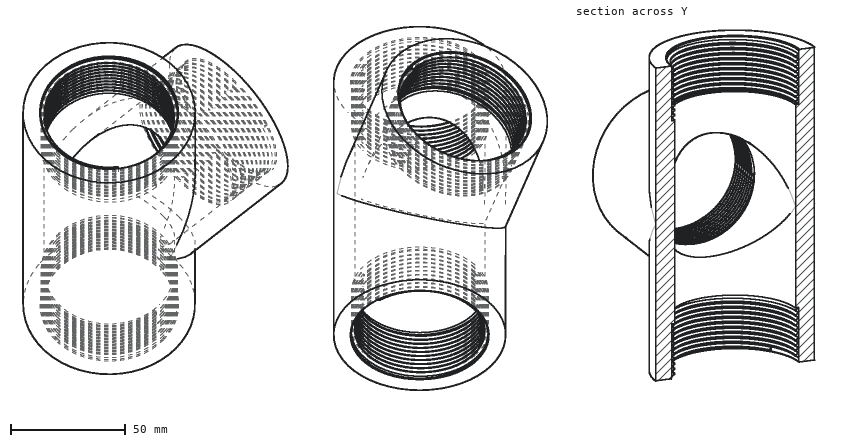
import cadquery as cq

length = 144.0
outer_diameter = 75.0
branch_reach = length / 2
bore_diameter = 56.7

root_diameter = 59.6
mouth_diameter = 60.5
mouth_depth = (mouth_diameter - root_diameter) / 2
socket_depth = 25.2

pitch = 2.3
ridge_base = 2.2
ridge_crest = 0.5
crest_diameter = bore_diameter
thread_start = 1.2
thread_turns = 9.9

end_height = length / 2
end_angles = {"upper": 0, "lower": 180, "branch": -90}


def turn_to_end(body, angle):
    """Rotate a body made for the upper end to another end of the tee."""
    return body.rotate((0, 0, 0), (1, 0, 0), angle)


def make_socket_cutter():
    """Round socket with a chamfered mouth, at the upper end."""
    floor = end_height - socket_depth
    return (
        cq.Workplane("XZ")
        .moveTo(0, floor)
        .lineTo(root_diameter / 2, floor)
        .lineTo(root_diameter / 2, end_height - mouth_depth)
        .lineTo(mouth_diameter / 2, end_height)
        .lineTo(0, end_height)
        .close()
        .revolve(360, (0, 0, 0), (0, 1, 0))
    )


def make_housing():
    """Equal tee with crossing bores and a socket at every end."""
    run = cq.Workplane("XY").circle(outer_diameter / 2).extrude(length / 2, both=True)
    branch = cq.Workplane("XZ").circle(outer_diameter / 2).extrude(-branch_reach)
    run_bore = cq.Workplane("XY").circle(bore_diameter / 2).extrude(length / 2, both=True)
    branch_bore = cq.Workplane("XZ").circle(bore_diameter / 2).extrude(-branch_reach)
    housing = run.union(branch).cut(run_bore).cut(branch_bore)
    for angle in end_angles.values():
        housing = housing.cut(turn_to_end(make_socket_cutter(), angle))
    return housing


def make_helix(radius, height):
    """Thread-length helix about Z, starting on +X at the given height."""
    helix = cq.Wire.makeHelix(pitch, pitch * thread_turns, radius)
    return helix.translate(cq.Vector(0, 0, height))


def make_thread(angle):
    """Helical ridge of trapezoid section, seated on the socket wall."""
    start = end_height - socket_depth + thread_start
    root_low = make_helix(root_diameter / 2, start - ridge_base / 2)
    root_high = make_helix(root_diameter / 2, start + ridge_base / 2)
    crest_low = make_helix(crest_diameter / 2, start - ridge_crest / 2)
    crest_high = make_helix(crest_diameter / 2, start + ridge_crest / 2)
    rails = [root_low, root_high, crest_high, crest_low]
    faces = [cq.Face.makeRuledSurface(a, b) for a, b in zip(rails, rails[1:] + rails[:1])]
    for place in (0, 1):
        corners = [rail.positionAt(place) for rail in rails]
        faces.append(cq.Face.makeFromWires(cq.Wire.makePolygon(corners, close=True)))
    ridge = cq.Solid.makeSolid(cq.Shell.makeShell(faces))
    return turn_to_end(ridge, angle)


housing = make_housing()
threads = [make_thread(angle) for angle in end_angles.values()]

result = cq.Compound.makeCompound([housing.val(), *threads])